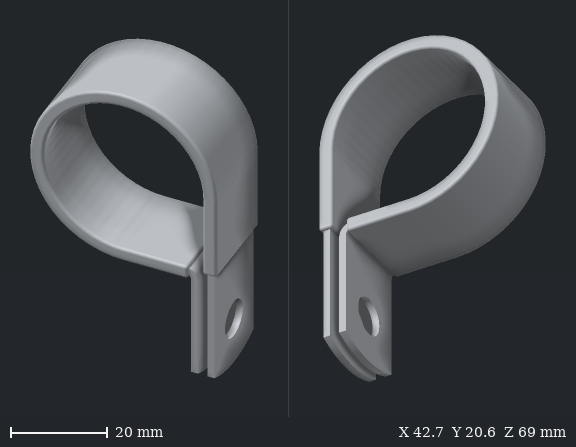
import cadquery as cq
import math

TOTAL_HEIGHT = 68.95
LOOP_DIAMETER = 42.7
CUSHION_WIDTH = 20.6
COVER = 0.8
STRAP_THICKNESS = 1.6
EDGE_ROUND = 0.75
ARM_LENGTH = 14.75
LEG_LENGTH = 19.1
TAB_FACE_X = 16.75
BEND_INNER_RADIUS = 1.3
HOLE_DIAMETER = 8.7
HOLE_Z = -36.5
TIP_RISE = 2.15

outer_radius = LOOP_DIAMETER / 2
inner_radius = outer_radius - STRAP_THICKNESS - 2 * COVER
strap_outer = outer_radius - COVER
strap_inner = strap_outer - STRAP_THICKNESS
strap_width = CUSHION_WIDTH - 2 * COVER
tip_z = outer_radius - TOTAL_HEIGHT
bend_outer_radius = BEND_INNER_RADIUS + STRAP_THICKNESS
bend_x = TAB_FACE_X - bend_outer_radius
bend_z = -strap_inner - bend_outer_radius
diagonal = math.sqrt(0.5)


def make_cushion():
    """Three-quarter loop with a straight leg and arm, rounded along every outer edge."""
    outer_mid = outer_radius * diagonal
    inner_mid = inner_radius * diagonal
    body = (
        cq.Workplane("XZ")
        .moveTo(outer_radius, -LEG_LENGTH)
        .lineTo(outer_radius, 0)
        .threePointArc((-outer_mid, outer_mid), (0, -outer_radius))
        .lineTo(ARM_LENGTH, -outer_radius)
        .lineTo(ARM_LENGTH, -inner_radius)
        .lineTo(0, -inner_radius)
        .threePointArc((-inner_mid, inner_mid), (inner_radius, 0))
        .lineTo(inner_radius, -LEG_LENGTH)
        .close()
        .extrude(CUSHION_WIDTH / 2, both=True)
    )
    across_edges = body.edges("|Y")
    end_edges = across_edges.filter(is_end_corner)
    return body.faces("|Y").edges().add(end_edges).fillet(EDGE_ROUND)


def is_end_corner(edge):
    """True for the edges across the free ends of the leg and the arm."""
    center = edge.Center()
    on_leg_end = math.isclose(center.z, -LEG_LENGTH)
    on_arm_end = math.isclose(center.x, ARM_LENGTH)
    return on_leg_end or on_arm_end


def make_straight_tab():
    """Bare strap continuing straight down from inside the leg."""
    return (
        cq.Workplane("XZ")
        .moveTo(strap_inner, tip_z)
        .lineTo(strap_outer, tip_z)
        .lineTo(strap_outer, 0)
        .lineTo(strap_inner, 0)
        .close()
        .extrude(strap_width / 2, both=True)
    )


def make_bent_tab():
    """Bare strap leaving the arm and bending down, parallel to the straight tab."""
    outer_bend = bend_outer_radius * diagonal
    inner_bend = BEND_INNER_RADIUS * diagonal
    return (
        cq.Workplane("XZ")
        .moveTo(0, -strap_inner)
        .lineTo(bend_x, -strap_inner)
        .threePointArc((bend_x + outer_bend, bend_z + outer_bend), (TAB_FACE_X, bend_z))
        .lineTo(TAB_FACE_X, tip_z)
        .lineTo(TAB_FACE_X - STRAP_THICKNESS, tip_z)
        .lineTo(TAB_FACE_X - STRAP_THICKNESS, bend_z)
        .threePointArc((bend_x + inner_bend, bend_z + inner_bend), (bend_x, -strap_outer))
        .lineTo(0, -strap_outer)
        .close()
        .extrude(strap_width / 2, both=True)
    )


def make_tab_envelope():
    """Block along X with the curved tip and the bolt hole shared by both tabs."""
    half_width = strap_width / 2
    return (
        cq.Workplane("YZ")
        .moveTo(-half_width, 0)
        .lineTo(-half_width, tip_z + TIP_RISE)
        .threePointArc((0, tip_z), (half_width, tip_z + TIP_RISE))
        .lineTo(half_width, 0)
        .close()
        .moveTo(0, HOLE_Z)
        .circle(HOLE_DIAMETER / 2)
        .extrude(outer_radius)
    )


tabs = make_straight_tab().union(make_bent_tab()).intersect(make_tab_envelope())
result = make_cushion().union(tabs)